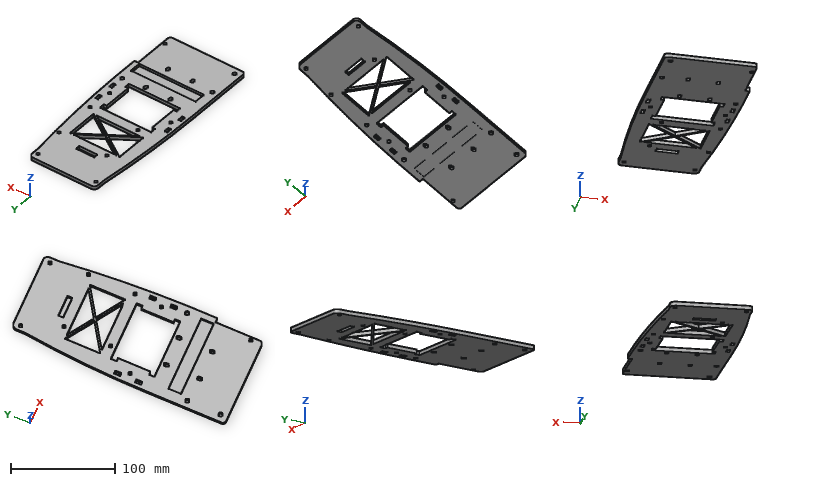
import cadquery as cq
import math

LENGTH = 227.5
WIDTH = 95.8
THICKNESS = 4.0
REAR_Y = -LENGTH / 2
FRONT_Y = LENGTH / 2
SIDE_X = WIDTH / 2

AXIS_X = -0.35

NOSE_HALF_WIDTH = 40.0
NOSE_END_Y = 99.0
FLANK_END_Y = -33.7
FLANK_MID_OFFSET = 45.7
FLANK_MID_Y = 34.1
STEP_X = 43.5
STEP_Y = -63.7
NOSE_CORNER_RADIUS = 5.0
TAIL_CORNER_RADIUS = 3.5

HOLE_DIAMETER = 3.5
LARGE_HOLE_DIAMETER = 4.0
NOSE_HOLE_OFFSET = 35.0
NOSE_HOLE_Y = 106.2
OPENING_HOLE_OFFSET = 37.0
OPENING_HOLE_Y = -9.8
WINDOW_HOLE_COLUMNS_X = (-19.3, 38.7)
WINDOW_HOLE_ROWS_Y = (67.8, 18.7)
TAIL_HOLE = (40.5, -102.1)
LARGE_HOLES = [(41.0, -35.0), (-40.7, -71.2), (-40.7, -106.2)]

OBLONG_LENGTH = 5.2
OBLONG_WIDTH = 3.5
OBLONG_OFFSET = 15.0
OBLONG_ROWS_Y = (-38.0, -73.0)

CROSS_SLOT_SIZE = (21.8, 5.0)
CROSS_SLOT_Y = 74.8

STRAP_SLOT_SIZE = (3.2, 6.1)
STRAP_SLOT_OFFSET = 41.9
STRAP_SLOT_ROWS_Y = (1.4, -20.7)

WINDOW_SIZE = (60.0, 36.9)
WINDOW_Y = 43.5
BRACE_WIDTH = 2.0
BRACE_ANGLE = 33.6

OPENING_FRONT_Y = 13.5
OPENING_REAR_Y = -32.3
OPENING_WIDTH = 55.0
OPENING_END_WIDTH = 61.9
OPENING_FRONT_END_DEPTH = 6.1
OPENING_REAR_END_DEPTH = 5.5

POCKET_SIZE = (78.3, 13.2)
POCKET_CENTER = (2.3, -56.2)
POCKET_DEPTH = 3.0


def box_cut(size, center, depth=THICKNESS):
    """Rectangular cutter reaching down from the top face by the given depth."""
    return (
        cq.Workplane("XY", origin=(0, 0, THICKNESS - depth))
        .center(*center)
        .rect(*size)
        .extrude(depth)
    )


def mirrored(offset, rows_y):
    """Points at the given distance left and right of the axis, in every row."""
    return [(AXIS_X + side * offset, y) for side in (-1, 1) for y in rows_y]


def plate():
    nose_left_x = AXIS_X - NOSE_HALF_WIDTH
    nose_right_x = AXIS_X + NOSE_HALF_WIDTH
    flank_left, flank_right = mirrored(FLANK_MID_OFFSET, [FLANK_MID_Y])
    outline = (
        cq.Workplane("XY")
        .moveTo(nose_left_x, FRONT_Y)
        .lineTo(nose_right_x, FRONT_Y)
        .lineTo(nose_right_x, NOSE_END_Y)
        .threePointArc(flank_right, (SIDE_X, FLANK_END_Y))
        .lineTo(SIDE_X, STEP_Y)
        .lineTo(STEP_X, STEP_Y)
        .lineTo(STEP_X, REAR_Y)
        .lineTo(-SIDE_X, REAR_Y)
        .lineTo(-SIDE_X, FLANK_END_Y)
        .threePointArc(flank_left, (nose_left_x, NOSE_END_Y))
        .close()
    )
    body = outline.extrude(THICKNESS)
    body = body.faces(">Y").edges("|Z").fillet(NOSE_CORNER_RADIUS)
    return body.faces("<Y").edges("|Z").fillet(TAIL_CORNER_RADIUS)


def round_holes(points, diameter):
    return cq.Workplane("XY").pushPoints(points).circle(diameter / 2).extrude(THICKNESS)


def small_hole_points():
    nose = mirrored(NOSE_HOLE_OFFSET, [NOSE_HOLE_Y])
    beside_opening = mirrored(OPENING_HOLE_OFFSET, [OPENING_HOLE_Y])
    around_window = [(x, y) for x in WINDOW_HOLE_COLUMNS_X for y in WINDOW_HOLE_ROWS_Y]
    return nose + beside_opening + around_window + [TAIL_HOLE]


def oblong_holes():
    return (
        cq.Workplane("XY")
        .pushPoints(mirrored(OBLONG_OFFSET, OBLONG_ROWS_Y))
        .slot2D(OBLONG_LENGTH, OBLONG_WIDTH, 90)
        .extrude(THICKNESS)
    )


def strap_slots():
    points = mirrored(STRAP_SLOT_OFFSET, STRAP_SLOT_ROWS_Y)
    return cq.Workplane("XY").pushPoints(points).rect(*STRAP_SLOT_SIZE).extrude(THICKNESS)


def braced_window():
    """Cutter for the window, leaving two crossed braces of full plate thickness."""
    cutter = box_cut(WINDOW_SIZE, (AXIS_X, WINDOW_Y))
    brace_length = 2 * math.hypot(*WINDOW_SIZE)
    for angle in (BRACE_ANGLE, -BRACE_ANGLE):
        brace = box_cut((brace_length, BRACE_WIDTH), (0, 0))
        brace = brace.rotate((0, 0, 0), (0, 0, 1), angle).translate((AXIS_X, WINDOW_Y, 0))
        cutter = cutter.cut(brace)
    return cutter


def main_opening():
    length = OPENING_FRONT_Y - OPENING_REAR_Y
    front_end_y = OPENING_FRONT_Y - OPENING_FRONT_END_DEPTH / 2
    rear_end_y = OPENING_REAR_Y + OPENING_REAR_END_DEPTH / 2
    middle = box_cut((OPENING_WIDTH, length), (AXIS_X, (OPENING_FRONT_Y + OPENING_REAR_Y) / 2))
    front_end = box_cut((OPENING_END_WIDTH, OPENING_FRONT_END_DEPTH), (AXIS_X, front_end_y))
    rear_end = box_cut((OPENING_END_WIDTH, OPENING_REAR_END_DEPTH), (AXIS_X, rear_end_y))
    return middle.union(front_end).union(rear_end)


result = (
    plate()
    .cut(round_holes(small_hole_points(), HOLE_DIAMETER))
    .cut(round_holes(LARGE_HOLES, LARGE_HOLE_DIAMETER))
    .cut(oblong_holes())
    .cut(box_cut(CROSS_SLOT_SIZE, (AXIS_X, CROSS_SLOT_Y)))
    .cut(strap_slots())
    .cut(braced_window())
    .cut(main_opening())
    .cut(box_cut(POCKET_SIZE, POCKET_CENTER, POCKET_DEPTH))
)